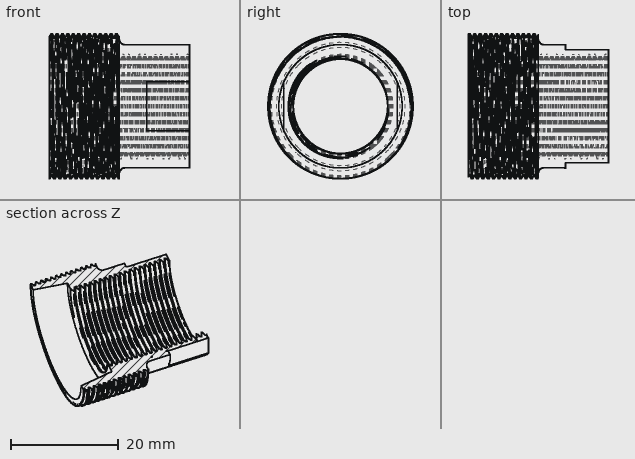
import cadquery as cq
import math

length = 26.0
thread_length = 13.0
flat_start = 18.02

crest_radius = 13.45
root_radius = 12.9
body_radius = 11.43
flat_distance = 10.5
neck_fillet = 1.0

thread_turns = 13
pitch = thread_length / thread_turns
ridge_base = 0.78
ridge_crest = 0.22
ridge_start_angle = -72

socket_depth = 6.45
socket_mouth_radius = 11.92
socket_floor_radius = 10.98
bore_pitch = 1.0
bore_crest_radius = 8.8
bore_groove_radius = 9.68
bore_groove_mouth = 0.78
bore_groove_bottom = 0.22
bore_start_angle = 0
bore_cuts = 2

flank_intervals = 6


def on_circle(radius, angle):
    return (radius * math.cos(angle), radius * math.sin(angle))


def spiral_points(start_radius, end_radius, start_angle, end_angle):
    """Points along an Archimedean spiral, without its first point."""
    points = []
    for step in range(1, flank_intervals + 1):
        share = step / flank_intervals
        radius = start_radius + share * (end_radius - start_radius)
        angle = start_angle + share * (end_angle - start_angle)
        points.append(on_circle(radius, angle))
    return points


def threaded_rod(start, end, lead, base_radius, tip_radius, base_width, tip_width, tip_angle):
    """Rod on X with a right-hand trapezoidal thread, ending on flat faces.

    A cross-section of the thread is twisted along X. Its tip arc is centred
    tip_angle degrees from +Y (towards +Z) at the start face.
    """
    half_tip = math.pi * tip_width / lead
    half_base = math.pi * base_width / lead
    tip_centre = math.radians(tip_angle)
    tip_start = tip_centre - half_tip
    tip_end = tip_centre + half_tip
    base_end = tip_centre + half_base
    base_start = tip_centre - half_base

    section = (
        cq.Workplane("YZ", origin=(start, 0, 0))
        .moveTo(*on_circle(tip_radius, tip_start))
        .threePointArc(on_circle(tip_radius, tip_centre), on_circle(tip_radius, tip_end))
        .spline(spiral_points(tip_radius, base_radius, tip_end, base_end), includeCurrent=True)
        .threePointArc(
            on_circle(base_radius, tip_centre + math.pi), on_circle(base_radius, base_start)
        )
        .spline(spiral_points(base_radius, tip_radius, base_start, tip_start), includeCurrent=True)
        .wire()
    )
    return section.twistExtrude(end - start, 360 * (end - start) / lead)


def plain_body():
    """Concave neck fillet and plain body as one turned solid."""
    fillet_centre_x = thread_length + neck_fillet
    fillet_centre_radius = body_radius + neck_fillet
    arc_offset = neck_fillet * math.sqrt(0.5)
    return (
        cq.Workplane("XY")
        .moveTo(thread_length, 0)
        .lineTo(thread_length, fillet_centre_radius)
        .threePointArc(
            (fillet_centre_x - arc_offset, fillet_centre_radius - arc_offset),
            (fillet_centre_x, body_radius),
        )
        .lineTo(length, body_radius)
        .lineTo(length, 0)
        .close()
        .revolve(360, (0, 0, 0), (1, 0, 0))
    )


def wrench_flat(side):
    """Block that cuts a flat on the +Y (side = 1) or -Y (side = -1) face."""
    flat_length = length - flat_start
    block_depth = body_radius - flat_distance
    centre_x = flat_start + flat_length / 2
    centre_y = side * (flat_distance + block_depth / 2)
    return (
        cq.Workplane("XY")
        .box(flat_length, block_depth, 2 * body_radius)
        .translate((centre_x, centre_y, 0))
    )


def socket():
    """Tapered recess, narrowing from the mouth to a flat floor."""
    return (
        cq.Workplane("XY")
        .lineTo(0, socket_mouth_radius)
        .lineTo(socket_depth, socket_floor_radius)
        .lineTo(socket_depth, 0)
        .close()
        .revolve(360, (0, 0, 0), (1, 0, 0))
    )


outer_thread = threaded_rod(
    0, thread_length, pitch, root_radius, crest_radius,
    ridge_base, ridge_crest, ridge_start_angle,
)

body = outer_thread.union(plain_body(), clean=False)
for side in (1, -1):
    body = body.cut(wrench_flat(side), clean=False)
body = body.cut(socket(), clean=False)

cut_length = (length - socket_depth) / bore_cuts
for index in range(bore_cuts):
    cut_start = socket_depth + index * cut_length
    cut_angle = bore_start_angle + 360 * index * cut_length / bore_pitch
    threaded_bore = threaded_rod(
        cut_start, cut_start + cut_length, bore_pitch, bore_crest_radius, bore_groove_radius,
        bore_groove_mouth, bore_groove_bottom, cut_angle,
    )
    body = body.cut(threaded_bore, clean=False)

result = body